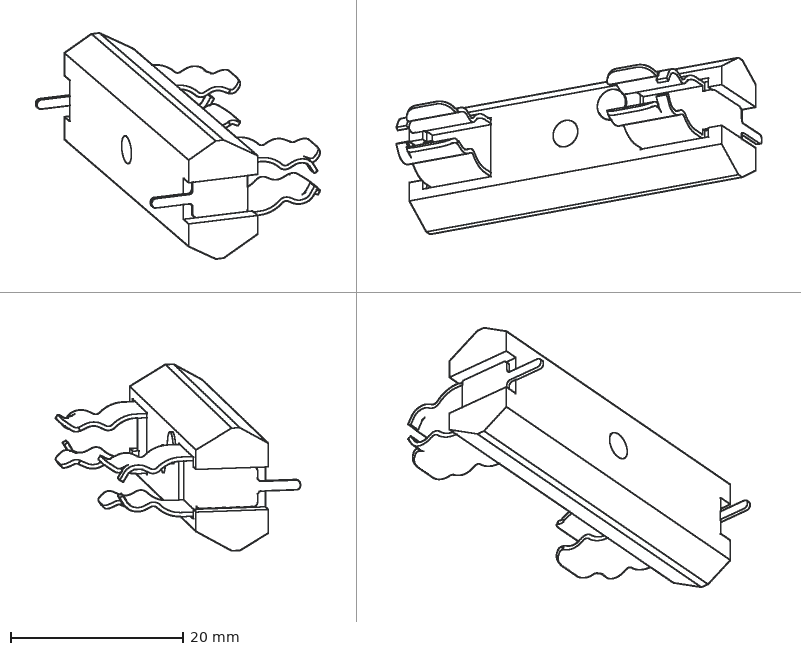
import cadquery as cq
import math

body_length = 41.0
body_depth = 8.55
ridge_half_height = 7.25
ridge_front = 3.35
ridge_back = 4.35
flank_slope = math.radians(30)

mount_hole_diameter = 3.25

slot_depth = 1.75
slot_height = 5.05

boss_diameter = 3.7
boss_height = 0.3
boss_x = -6.2
boss_z = 2.45

sheet = 0.5

terminal_inset = 1.35
terminal_height = 4.75
terminal_shoulder = 1.02
terminal_bend_start = 7.45
terminal_bend_radius = 0.3
terminal_root = 1.25
shoulder_radius = 0.5
pin_width = 1.15
pin_length = 4.05
pin_tip_radius = 0.5

leg_inset = 2.75
leg_width = 7.85
leg_z = 3.3
leg_straight = 1.27
finger_width = 1.35
flare_margin = 0.102
flare_corner_radius = 1.8

clip_base_top = terminal_bend_start + terminal_bend_radius + sheet / 2
pocket_floor = clip_base_top - sheet
pocket_clearance = 0.12

leg_run = [
    ("line", body_depth - pocket_floor + leg_straight),
    ("bend", 3.75, -45),
    ("bend", 0.85, 72),
    ("line", 0.6),
    ("bend", 1.93, -52),
]
finger_run = [("bend", 1.4, -34), ("line", 1.02)]
neck_run = [("line", 0.9)]
flare_run = [("bend", 0.78, 57), ("line", 1.25)]


def beside(pose, distance):
    """Point at a signed distance to the left of a pose (u, v, heading in degrees)."""
    u, v, heading = pose
    angle = math.radians(heading)
    return (u - distance * math.sin(angle), v + distance * math.cos(angle))


def advance(pose, step):
    """Pose reached after one line or bend of the sheet's centreline."""
    u, v, heading = pose
    if step[0] == "line":
        angle = math.radians(heading)
        return (u + step[1] * math.cos(angle), v + step[1] * math.sin(angle), heading)
    radius, turn = step[1:]
    side = math.copysign(radius, turn)
    centre_u, centre_v = beside(pose, side)
    return (*beside((centre_u, centre_v, heading + turn), -side), heading + turn)


def bend_sheet(plane, start, run, width):
    """Extrude a constant-thickness strip along a run; return it with its end pose."""
    stages = []
    pose = start
    for step in run:
        middle = pose if step[0] == "line" else advance(pose, ("bend", step[1], step[2] / 2))
        end = advance(pose, step)
        stages.append((step[0], pose, middle, end))
        pose = end

    half = sheet / 2
    outline = cq.Workplane(plane).moveTo(*beside(start, half))
    for kind, _, middle, end in stages:
        if kind == "line":
            outline = outline.lineTo(*beside(end, half))
        else:
            outline = outline.threePointArc(beside(middle, half), beside(end, half))
    outline = outline.lineTo(*beside(pose, -half))
    for kind, begin, middle, _ in reversed(stages):
        if kind == "line":
            outline = outline.lineTo(*beside(begin, -half))
        else:
            outline = outline.threePointArc(beside(middle, -half), beside(begin, -half))
    return outline.close().extrude(width), pose


def make_body():
    front_half = ridge_half_height - ridge_front * math.tan(flank_slope)
    back_half = ridge_half_height - (body_depth - ridge_back) * math.tan(flank_slope)
    upper = [
        (0, front_half),
        (ridge_front, ridge_half_height),
        (ridge_back, ridge_half_height),
        (body_depth, back_half),
    ]
    lower = [(y, -z) for y, z in reversed(upper)]
    body = (
        cq.Workplane("YZ")
        .polyline(upper + lower)
        .close()
        .extrude(body_length / 2, both=True)
    )

    pocket_length = leg_inset + leg_width + pocket_clearance - slot_depth
    pocket_height = 2 * leg_z + sheet + 2 * pocket_clearance
    pocket_x = body_length / 2 - slot_depth - pocket_length / 2
    slot = cq.Workplane("XY").box(2 * slot_depth, 3 * body_depth, slot_height)
    pocket = cq.Workplane("XY").box(pocket_length, body_depth, pocket_height)
    for end in (-1, 1):
        body = body.cut(slot.translate((end * body_length / 2, 0, 0)))
        body = body.cut(pocket.translate((end * pocket_x, pocket_floor + body_depth / 2, 0)))

    boss = (
        cq.Workplane("XZ", origin=(boss_x, body_depth, boss_z))
        .circle(boss_diameter / 2)
        .extrude(-boss_height)
    )
    hole = cq.Workplane("XZ").circle(mount_hole_diameter / 2).extrude(-body_depth)
    return body.union(boss).cut(hole)


def make_terminal():
    """Terminal of the -X end."""
    outer_x = terminal_inset - body_length / 2
    plate_length = terminal_bend_start - terminal_shoulder
    run = [
        ("line", plate_length),
        ("bend", terminal_bend_radius, -90),
        ("line", terminal_root),
    ]
    lower_edge = cq.Plane.XY(origin=(0, 0, -terminal_height / 2))
    start = (outer_x + sheet / 2, terminal_shoulder, 90)
    plate, _ = bend_sheet(lower_edge, start, run, terminal_height)
    plate = plate.edges("|X and <Y").fillet(shoulder_radius)

    pin_reach = pin_length + terminal_shoulder
    pin = (
        cq.Workplane("XY")
        .box(sheet, pin_reach, pin_width, centered=(False, False, True))
        .edges("|X and <Y")
        .fillet(pin_tip_radius)
        .translate((outer_x, -pin_length, 0))
    )
    terminal = plate.union(pin)
    inner_corners = cq.selectors.BoxSelector(
        (outer_x - sheet, 0, -pin_width),
        (outer_x + 2 * sheet, 2 * terminal_shoulder, pin_width),
    )
    return terminal.edges("|X").edges(inner_corners).fillet(shoulder_radius)


def make_clip_base():
    """Flat base between the legs of the -X clip."""
    corner = (leg_inset - body_length / 2, pocket_floor, 0)
    return (
        cq.Workplane("XY")
        .box(leg_width, sheet, 2 * leg_z + sheet, centered=(False, False, True))
        .translate(corner)
    )


def make_leg():
    """Upper leg of the -X clip."""
    leg_x = leg_inset - body_length / 2
    flare_x = leg_x + finger_width
    neck_width = leg_width - finger_width
    flare_width = neck_width - 2 * flare_margin

    leg_plane = cq.Plane.YZ(origin=(leg_x, 0, 0))
    neck_plane = cq.Plane.YZ(origin=(flare_x, 0, 0))
    flare_plane = cq.Plane.YZ(origin=(flare_x + flare_margin, 0, 0))

    leg, leg_end = bend_sheet(leg_plane, (pocket_floor, leg_z, 0), leg_run, leg_width)
    finger, _ = bend_sheet(leg_plane, leg_end, finger_run, finger_width)
    neck, neck_end = bend_sheet(neck_plane, leg_end, neck_run, neck_width)
    flare, flare_end = bend_sheet(flare_plane, neck_end, flare_run, flare_width)

    tip_y, tip_z, heading = flare_end
    trim_length = 2 * flare_width
    trim = (
        cq.Workplane("XY")
        .box(flare_width, trim_length, trim_length)
        .edges("|Z and >Y")
        .fillet(flare_corner_radius)
        .translate((flare_x + flare_margin + flare_width / 2, -trim_length / 2, 0))
        .rotate((0, 0, 0), (1, 0, 0), heading)
        .translate((0, tip_y, tip_z))
    )
    return leg.union(finger).union(neck).union(flare.intersect(trim))


upper_leg = make_leg()
contact = make_terminal().union(make_clip_base()).union(upper_leg).union(upper_leg.mirror("XY"))
result = make_body().union(contact).union(contact.mirror("YZ"))